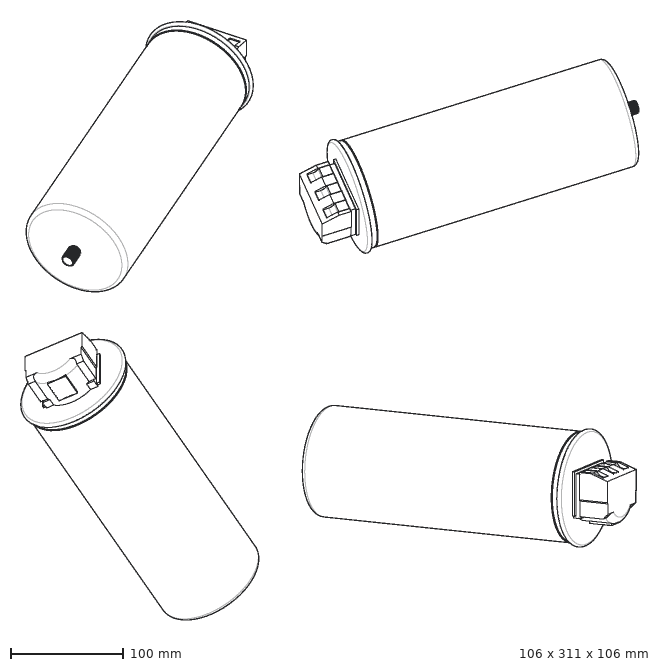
import cadquery as cq
import math


overall_length = 311

can_diameter = 100.0
can_radius = can_diameter / 2
bottom_fillet = 4.0
rim_diameter = 106.0
rim_thickness = 4.5
rim_roll = rim_thickness / 2
can_height = 260.0
groove_top = 250.5
groove_width = 1.0
groove_depth = 0.5

stud_length = 16.2
thread_diameter = 12.0
thread_root_diameter = 10.3
thread_pitch = 1.2
thread_base_width = 1.15
thread_crest_width = 0.25
ridge_overlap = 0.15
stud_relief_length = 1.0

plate_thickness = 2.2
neck_length = 5.0
neck_inset = 2.8
neck_shift = 2.2
block_start = can_height + plate_thickness + neck_length
block_end = overall_length - stud_length
block_width = 58.0
block_top = 20.5
block_bottom = -20.0
slope_length = 16.2
slope_drop = 5.5
step_height = -4.5
step_inset = 1.0
shoulder_height = 1.2
end_chamfer = 4.7
lobe_radius = 29.0
pad_width = 18.7
pad_bottom = -29.5
pad_length = 22.0
lobe_top = -14.0
lobe_fillet = 6.2

window_pitch = 20.2
window_count = 3
window_width = 10.0
window_end = 289.0
window_floor = 15.5
floor_length = 5.5
ramp_length = 5.0
ramp_bulge = 1.0
ramp_lip = 1.0
shelf_height = 20.0


def box(x_size, y_start, y_end, z_bottom, z_top):
    """A block centred on X = 0 between two Y planes and two Z planes."""
    size = (x_size, y_end - y_start, z_top - z_bottom)
    return cq.Workplane("XY").box(*size, centered=(True, False, False)).translate((0, y_start, z_bottom))


def cylinder(radius, y_start, y_end):
    """A cylinder on the can axis between two Y planes."""
    return cq.Workplane("XZ", origin=(0, y_start, 0)).circle(radius).extrude(y_start - y_end)


def make_stud():
    """Stud with one helical thread ridge, plain for a short length next to the can."""
    root = thread_root_diameter / 2
    crest = thread_diameter / 2
    half_base = thread_base_width / 2
    half_crest = thread_crest_width / 2
    core = cq.Workplane("XY").circle(root).extrude(stud_length)

    ridge_start = stud_relief_length + half_base
    ridge_length = stud_length - stud_relief_length - thread_base_width
    helix = cq.Wire.makeHelix(thread_pitch, ridge_length, root)
    ridge = (
        cq.Workplane("XZ")
        .moveTo(root - ridge_overlap, half_base)
        .lineTo(crest, half_crest)
        .lineTo(crest, -half_crest)
        .lineTo(root - ridge_overlap, -half_base)
        .close()
        .sweep(cq.Workplane(helix), isFrenet=True)
        .translate((0, 0, ridge_start))
    )
    return core.union(ridge).rotate((0, 0, 0), (1, 0, 0), 90)


def make_can():
    """Drawn can with a rolled rim, a groove below the rim and the threaded stud."""
    rim_radius = rim_diameter / 2
    rim_bottom = can_height - rim_thickness
    rim_center_radius = rim_radius - rim_roll
    groove_radius = can_radius - groove_depth
    groove_bottom = groove_top - groove_width
    fillet_mid = bottom_fillet * (1 - math.sqrt(0.5))
    can = (
        cq.Workplane("XY")
        .moveTo(0, 0)
        .lineTo(can_radius - bottom_fillet, 0)
        .threePointArc((can_radius - fillet_mid, fillet_mid), (can_radius, bottom_fillet))
        .lineTo(can_radius, groove_bottom)
        .lineTo(groove_radius, groove_bottom)
        .lineTo(groove_radius, groove_top)
        .lineTo(can_radius, groove_top)
        .lineTo(can_radius, rim_bottom)
        .lineTo(rim_center_radius, rim_bottom)
        .threePointArc((rim_radius, can_height - rim_roll), (rim_center_radius, can_height))
        .lineTo(0, can_height)
        .close()
        .revolve(360, (0, 0, 0), (0, 1, 0))
    )
    return can.union(make_stud())


def make_window_cutter():
    """Space of one clamp window: a floor, a curved ramp with a bevelled lip, and a shallow shelf."""
    floor_start = window_end - floor_length
    ramp_start = floor_start - ramp_length
    middle = ((floor_start + ramp_start) / 2, (window_floor + shelf_height - ramp_lip) / 2 - ramp_bulge)
    return (
        cq.Workplane("YZ")
        .moveTo(window_end, block_top)
        .lineTo(window_end, window_floor)
        .lineTo(floor_start, window_floor)
        .threePointArc(middle, (ramp_start, shelf_height - ramp_lip))
        .lineTo(ramp_start - ramp_lip, shelf_height)
        .lineTo(block_start, shelf_height)
        .lineTo(block_start, block_top)
        .close()
        .extrude(window_width / 2, both=True)
    )


def make_terminal():
    """Terminal block on a plate and neck, with a round lobe below and clamp windows on top."""
    lower_half_width = block_width / 2 - step_inset

    plate = box(block_width, can_height, can_height + plate_thickness, block_bottom, block_top)
    neck = box(block_width - 2 * neck_inset, can_height, block_start,
               block_bottom - neck_shift, block_top - neck_shift)

    upper = (
        cq.Workplane("YZ")
        .moveTo(block_start, step_height)
        .lineTo(block_start, block_top)
        .lineTo(block_end - slope_length, block_top)
        .lineTo(block_end, block_top - slope_drop)
        .lineTo(block_end, step_height)
        .close()
        .extrude(block_width / 2, both=True)
    )
    lower = (
        cq.Workplane("XZ", origin=(0, block_end, 0))
        .moveTo(-block_width / 2, step_height)
        .lineTo(block_width / 2, step_height)
        .lineTo(lower_half_width, step_height - shoulder_height)
        .lineTo(lower_half_width, block_bottom)
        .lineTo(-lower_half_width, block_bottom)
        .lineTo(-lower_half_width, step_height - shoulder_height)
        .close()
        .extrude(block_end - block_start)
    )
    lower = lower.faces(">Y").edges("<Z").chamfer(end_chamfer)

    lobe = cylinder(lobe_radius, can_height, block_end).faces(">Y").edges().fillet(lobe_fillet)
    lobe = lobe.intersect(box(2 * lobe_radius, can_height, block_end, -lobe_radius, lobe_top))
    pad = box(pad_width, block_start, block_start + pad_length, pad_bottom, lobe_top)

    terminal = upper.union(lower).union(neck).union(plate).union(lobe).union(pad)
    for i in range(window_count):
        x = (i - (window_count - 1) / 2) * window_pitch
        terminal = terminal.cut(make_window_cutter().translate((x, 0, 0)))
    return terminal


can = make_can()
terminal = make_terminal()
result = cq.Compound.makeCompound([can.val(), terminal.val()])